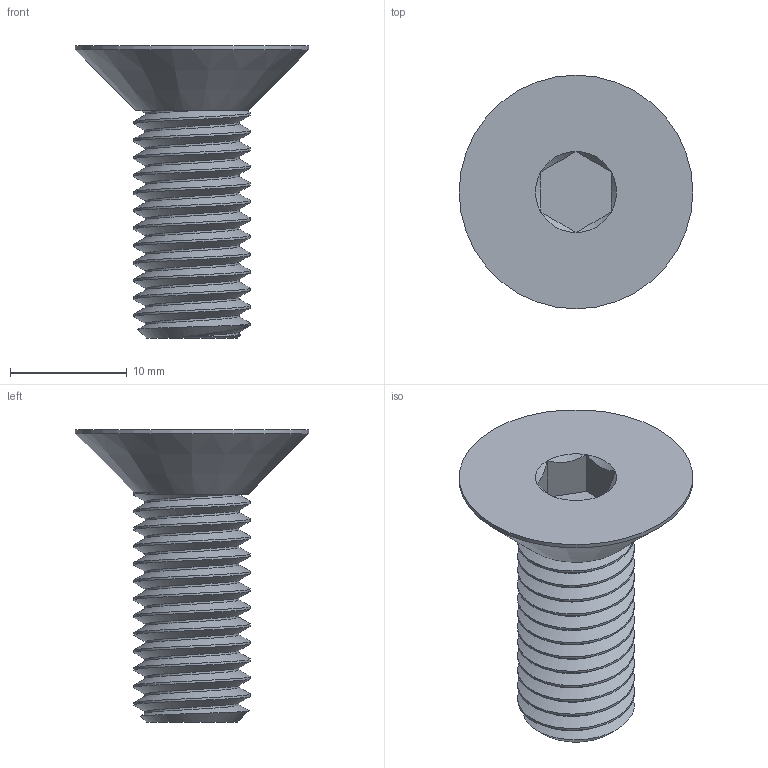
import cadquery as cq
import math

length = 25.0
head_diameter = 20.0
head_height = 5.5
head_rim_height = 0.34
head_overlap = 0.5

thread_diameter = 10.0
pitch = 1.5
root_diameter = 8.05
ridge_foot_depth = 0.05
crest_clearance = 0.5
flank_half_angle = math.radians(30)
crest_height_on_x_axis = 1.17
tip_diameter = 7.85

socket_across_flats = 6.0
socket_depth = 3.85
lead_in_angle = math.radians(45)

thread_radius = thread_diameter / 2
root_radius = root_diameter / 2
crest_flat = pitch / 8
ridge_foot_radius = root_radius - ridge_foot_depth
envelope_radius = thread_radius + crest_clearance
head_radius = head_diameter / 2
head_base = length - head_height
head_base_radius = head_radius - (head_height - head_rim_height)
shank_top = head_base + head_overlap
socket_corner_diameter = socket_across_flats / math.cos(math.pi / 6)


def make_head():
    """Flat countersunk head with a short cylindrical rim."""
    return (
        cq.Workplane("XZ")
        .moveTo(0, head_base)
        .lineTo(head_base_radius, head_base)
        .lineTo(head_radius, length - head_rim_height)
        .lineTo(head_radius, length)
        .lineTo(0, length)
        .close()
        .revolve(360, (0, 0, 0), (0, 1, 0))
    )


def make_thread_ridge(bottom, turns):
    """Helical ridge with a flat crest, its base sunk a little into the core."""
    foot_half_width = crest_flat / 2 + (thread_radius - ridge_foot_radius) * math.tan(flank_half_angle)
    helix = cq.Wire.makeHelix(pitch, turns * pitch, root_radius, center=cq.Vector(0, 0, bottom))
    return (
        cq.Workplane("XZ")
        .moveTo(ridge_foot_radius, bottom - foot_half_width)
        .lineTo(thread_radius, bottom - crest_flat / 2)
        .lineTo(thread_radius, bottom + crest_flat / 2)
        .lineTo(ridge_foot_radius, bottom + foot_half_width)
        .close()
        .sweep(cq.Workplane(helix), isFrenet=True)
    )


def make_shank():
    """Threaded rod, running long at both ends, trimmed to length with a tip chamfer."""
    bottom = crest_height_on_x_axis - 2 * pitch
    turns = math.ceil((shank_top - bottom) / pitch) + 1
    core = (
        cq.Workplane("XY", origin=(0, 0, bottom - pitch))
        .circle(root_radius)
        .extrude((turns + 2) * pitch)
    )
    rod = core.union(make_thread_ridge(bottom, turns), clean=False)
    envelope = (
        cq.Workplane("XY")
        .circle(envelope_radius)
        .extrude(shank_top)
        .faces("<Z")
        .chamfer(envelope_radius - tip_diameter / 2)
    )
    return rod.intersect(envelope, clean=False)


def make_socket():
    """Hexagon socket, corners along Y, together with its lead-in cone."""
    corner_radius = socket_corner_diameter / 2
    lead_in_depth = corner_radius * math.tan(lead_in_angle)
    hexagon = (
        cq.Workplane("XY", origin=(0, 0, length - socket_depth))
        .transformed(rotate=(0, 0, 90))
        .polygon(6, socket_corner_diameter)
        .extrude(socket_depth)
    )
    lead_in = cq.Workplane(cq.Solid.makeCone(
        0, corner_radius, lead_in_depth, pnt=cq.Vector(0, 0, length - lead_in_depth)
    ))
    return hexagon.union(lead_in)


result = make_head().union(make_shank(), clean=False).cut(make_socket(), clean=False)